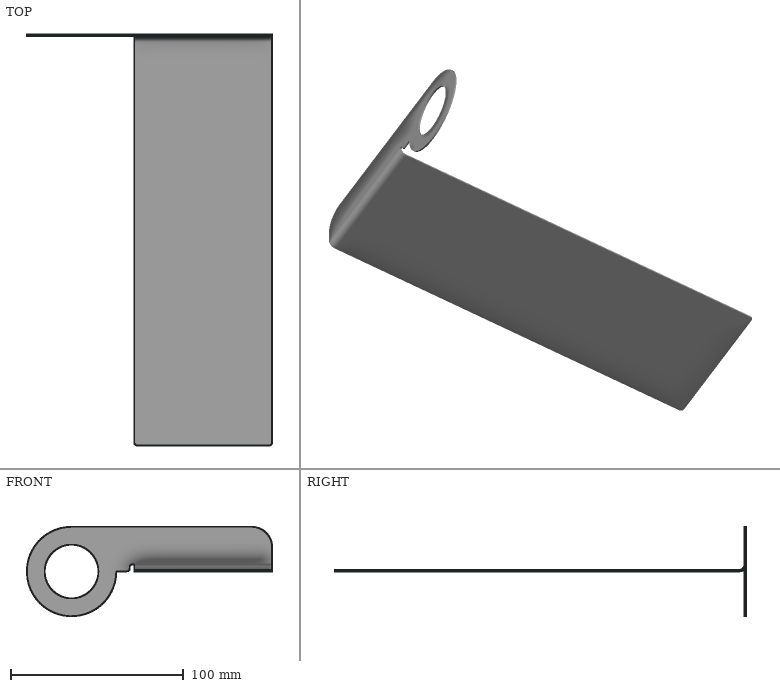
import cadquery as cq

overall_x = 142.0
overall_y = 238.0
thickness = 1.0
ring_diameter = 52.0
hole_diameter = 31.0
flange_width = 80.0
top_corner_radius = 12.0
flange_corner_radius = 2.0
relief_width = 2.4
relief_inner_radius = 1.0
relief_outer_radius = 2.0

ring_radius = ring_diameter / 2
right_x = overall_x - ring_radius
flange_left_x = right_x - flange_width
relief_left_x = flange_left_x - relief_width
inner_bend_radius = 3 * thickness
outer_bend_radius = inner_bend_radius + thickness
bend_top_z = outer_bend_radius


def extrude_back_plate(profile):
    """Give an XZ profile the sheet thickness, from Y = 0 toward -Y."""
    return profile.extrude(thickness)


def make_back_plate():
    """Ring with a tangent arm; the arm's lower edge is stepped up to the bend line."""
    ring = extrude_back_plate(cq.Workplane("XZ").circle(ring_radius))
    arm = extrude_back_plate(
        cq.Workplane("XZ")
        .moveTo(0, 0)
        .lineTo(relief_left_x - relief_outer_radius, 0)
        .radiusArc((relief_left_x, relief_outer_radius), -relief_outer_radius)
        .lineTo(relief_left_x, bend_top_z - relief_inner_radius)
        .radiusArc((relief_left_x + relief_inner_radius, bend_top_z), relief_inner_radius)
        .lineTo(right_x, bend_top_z)
        .lineTo(right_x, ring_radius - top_corner_radius)
        .radiusArc((right_x - top_corner_radius, ring_radius), -top_corner_radius)
        .lineTo(0, ring_radius)
        .close()
    )
    hole = extrude_back_plate(cq.Workplane("XZ").circle(hole_diameter / 2))
    return ring.union(arm).cut(hole)


def make_bent_flange():
    """Quarter-round bend below the arm, running into the long flat flange."""
    flange = (
        cq.Workplane("YZ", origin=(flange_left_x, 0, 0))
        .moveTo(0, bend_top_z)
        .radiusArc((-outer_bend_radius, 0), outer_bend_radius)
        .lineTo(-overall_y, 0)
        .lineTo(-overall_y, thickness)
        .lineTo(-outer_bend_radius, thickness)
        .radiusArc((-thickness, bend_top_z), -inner_bend_radius)
        .close()
        .extrude(flange_width)
    )
    return flange.faces("<Y").edges("|Z").fillet(flange_corner_radius)


result = make_back_plate().union(make_bent_flange())